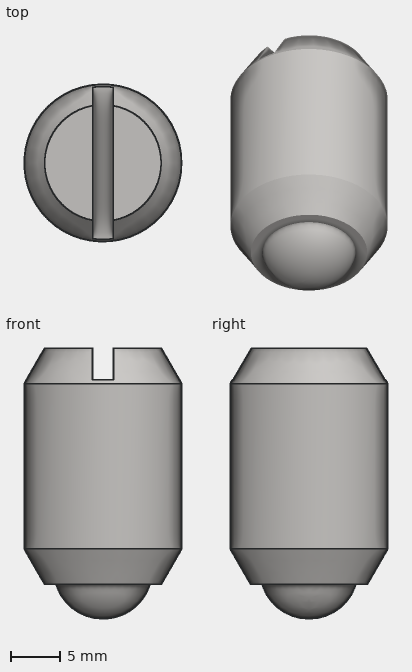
import cadquery as cq
import math


body_diameter = 16.0
body_length = 24.0
end_face_diameter = 11.835
bevel_angle = 30.0

slot_width = 2.1
slot_depth = 3.2

ball_diameter = 10.0
ball_protrusion = 3.5

body_radius = body_diameter / 2
end_face_radius = end_face_diameter / 2
bevel_height = (body_radius - end_face_radius) / math.tan(math.radians(bevel_angle))
ball_radius = ball_diameter / 2
ball_center_z = ball_radius - ball_protrusion


def make_ball():
    """Full sphere that projects below the lower end face."""
    return cq.Workplane("XY").sphere(ball_radius).translate((0, 0, ball_center_z))


def make_body_blank():
    """Revolved cylinder with the same conical bevel at both ends."""
    return (
        cq.Workplane("XZ")
        .moveTo(0, 0)
        .lineTo(end_face_radius, 0)
        .lineTo(body_radius, bevel_height)
        .lineTo(body_radius, body_length - bevel_height)
        .lineTo(end_face_radius, body_length)
        .lineTo(0, body_length)
        .close()
        .revolve(360, (0, 0, 0), (0, 1, 0))
    )


def make_slot():
    """Screwdriver slot cut straight across the upper end along Y."""
    return (
        cq.Workplane("XY")
        .workplane(offset=body_length - slot_depth)
        .rect(slot_width, body_diameter)
        .extrude(slot_depth)
    )


ball = make_ball()

body = make_body_blank().cut(make_slot()).cut(make_ball())

result = cq.Compound.makeCompound([body.val(), ball.val()])